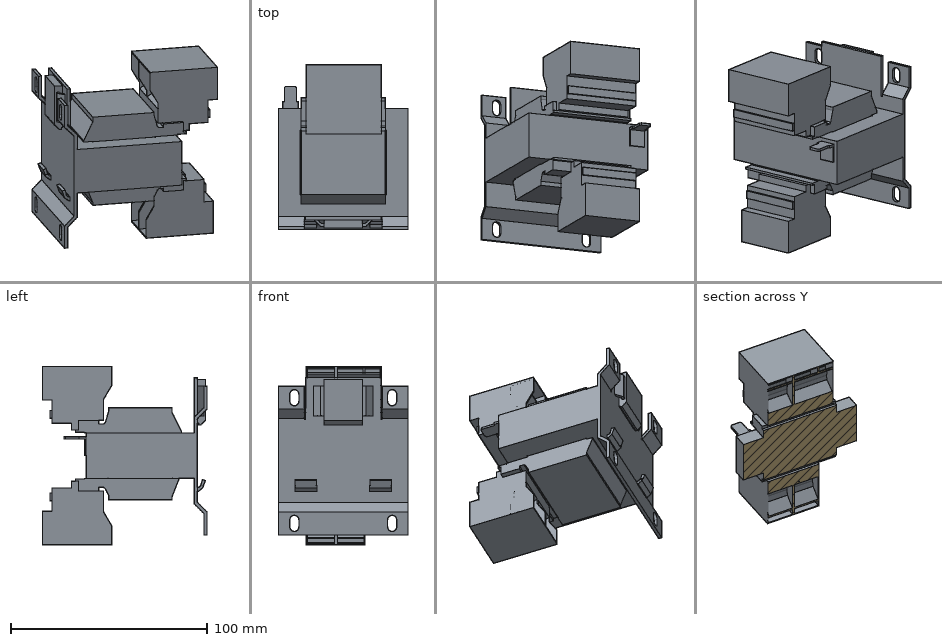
import math

import cadquery as cq


width = 66.05
half_width = width / 2
depth = 83.97
rear_y = 77.3
front_y = rear_y - depth
height = 90.8
block_top_z = height / 2

core_half_height = 11.6
core_depth = 55.0
window_outer_x = 22.0
window_inner_x = 11.0
window_front_y = 11.1
window_rear_y = 43.9

coil_half_width = 21.4
coil_rear_y = 43.5
carrier_rear_y = 58.8
carrier_lip_y = 60.5
carrier_lip_height = 1.1
carrier_gap = 0.25
carrier_top_z = 18.0
carrier_foot_y = 55.9
notch_rear_y = 48.5
notch_front_y = 46.0
notch_floor_z = 16.2

sheet = 1.7
plate_front_y = -sheet
flange_back_y = front_y + sheet
flange_offset = plate_front_y - front_y
bend_shift = sheet * math.tan(math.radians(22.5))
bracket_bottom_z = -40.5
lower_bend_z = -23.8
ear_top_z = 35.4
upper_bend_z = 18.8
ear_inner_x = 19.85
tab_half_width = 19.1
tab_top_z = 39.7
relief_bottom_z = 18.35
slot_x = 24.9
slot_width = 4.5
slot_length = 8.1
upper_slot_z = 29.5
slot_spacing_z = 64.0

clip_half_width = 9.7
clip_top_z = 38.8
clip_front_y = -5.86
clip_bevel_z = 18.0
clip_nose_z = 15.6
clip_nose_y = -3.4
clip_root_z = 16.5
clip_nose_back_y = -2.3
bridge_foot_x = 15.1
bridge_top_x = 11.5
bridge_front_y = -5.0
bridge_sheet = 1.35
bridge_bottom_z = 20.3
bridge_top_z = 35.5

hook_inner_x = 13.3
hook_outer_x = 24.5
hook_root_top_z = -16.0
hook_root_bottom_z = -18.2
hook_tip_relief = 0.4
hook_relief_z = -15.2

block_left_x = -18.85
block_seam_x = -3.75
upper_block_right_x = 19.45
lower_block_right_x = 11.2
block_wall = 0.7
divider_x = 10.55
divider_width = 1.1
block_front_y = 41.9
block_throat_y = 46.1
block_step_y = 72.4
block_step_z = 28.3
block_floor_z = 16.4
latch_depth = 1.1
latch_inset = 0.3
latch_low_z = 19.0
latch_high_z = 23.0
throat_sill_z = 25.4
cavity_back_y = 54.8
cavity_ceiling_z = 44.2

slope_top = (52.8, 29.9)
blade_root = (54.1, 33.5)
blade_bend = (53.2, 36.6)
blade_tip = (46.7, 42.3)
ledge_z = 38.0

earth_x = -26.9
earth_sheet = 1.25
earth_leg_sheet = 0.8
earth_top_z = 9.7
earth_leg_bottom_z = 0.1
earth_base_width = 8.0
earth_base_y = 58.5
earth_tab_width = 6.2
earth_tab_y = 66.3
earth_corner = 0.7


def box(x0, x1, y0, y1, z0, z1):
    return cq.Workplane("XY").box(x1 - x0, y1 - y0, z1 - z0, centered=False).translate((x0, y0, z0))


def prism(points, x0, x1):
    """Extrude a (Y, Z) outline from x0 to x1."""
    return cq.Workplane("YZ").workplane(offset=x0).polyline(points).close().extrude(x1 - x0)


def mirror_z(body):
    return body.mirror("XY")


def mirror_x(body):
    return body.mirror("YZ")


def make_core():
    core = box(-half_width, half_width, 0, core_depth, -core_half_height, core_half_height)
    window = box(
        window_inner_x, window_outer_x, window_front_y, window_rear_y, -core_half_height, core_half_height
    )
    return core.cut(window).cut(mirror_x(window))


def make_coil_half(crest_z, front_foot_y, front_knee_z, rear_knee_z):
    """Winding above the core together with the carrier behind it."""
    front_knee_y = 11.2
    front_foot_rise = 0.7
    saddle_point = (45.2, 17.0)
    lip_bottom_z = core_half_height + carrier_gap
    outline = [
        (front_foot_y, core_half_height),
        (front_foot_y, core_half_height + front_foot_rise),
        (front_knee_y, front_knee_z),
        (front_knee_y, crest_z),
        (coil_rear_y, crest_z),
        (coil_rear_y, rear_knee_z),
        saddle_point,
        (notch_front_y, notch_floor_z),
        (notch_rear_y, notch_floor_z),
        (notch_rear_y, carrier_top_z),
        (carrier_rear_y, carrier_top_z),
        (carrier_rear_y, lip_bottom_z + carrier_lip_height),
        (carrier_lip_y, lip_bottom_z + carrier_lip_height),
        (carrier_lip_y, lip_bottom_z),
        (carrier_foot_y, lip_bottom_z),
        (carrier_foot_y, core_half_height),
    ]
    return prism(outline, -coil_half_width, coil_half_width)


def make_coil():
    upper = make_coil_half(crest_z=24.5, front_foot_y=6.4, front_knee_z=22.0, rear_knee_z=22.8)
    lower = make_coil_half(crest_z=22.5, front_foot_y=7.8, front_knee_z=21.0, rear_knee_z=20.4)
    coil = upper.union(mirror_z(lower))
    for x0, x1 in ((-coil_half_width, -window_inner_x), (window_inner_x, coil_half_width)):
        coil = coil.union(
            box(x0, x1, window_front_y, window_rear_y, -core_half_height, core_half_height)
        )
    return coil


def make_bracket():
    outline = [
        (0, upper_bend_z + bend_shift),
        (flange_back_y, upper_bend_z + bend_shift - flange_back_y),
        (flange_back_y, ear_top_z),
        (front_y, ear_top_z),
        (front_y, upper_bend_z + flange_offset),
        (plate_front_y, upper_bend_z),
        (plate_front_y, lower_bend_z),
        (front_y, lower_bend_z - flange_offset),
        (front_y, bracket_bottom_z),
        (flange_back_y, bracket_bottom_z),
        (flange_back_y, lower_bend_z - bend_shift + flange_back_y),
        (0, lower_bend_z - bend_shift),
    ]
    bracket = prism(outline, -half_width, half_width)
    ear_gap = box(-ear_inner_x, ear_inner_x, front_y, 0, relief_bottom_z, tab_top_z)
    tab = box(-tab_half_width, tab_half_width, plate_front_y, 0, relief_bottom_z, tab_top_z)
    slot_rows = (upper_slot_z, upper_slot_z - slot_spacing_z)
    slot_places = [(x, z) for x in (-slot_x, slot_x) for z in slot_rows]
    slots = (
        cq.Workplane("XZ", origin=(0, flange_back_y, 0))
        .pushPoints(slot_places)
        .slot2D(slot_length, slot_width, 90)
        .extrude(sheet)
    )
    return bracket.cut(ear_gap).union(tab).cut(slots)


def make_clip():
    pad = prism(
        [
            (plate_front_y, clip_top_z),
            (clip_front_y, clip_top_z),
            (clip_front_y, clip_bevel_z),
            (clip_nose_y, clip_nose_z),
            (clip_nose_back_y, clip_nose_z),
            (clip_nose_back_y, clip_root_z),
            (plate_front_y, clip_root_z),
        ],
        -clip_half_width,
        clip_half_width,
    )
    inner_front_y = bridge_front_y + bridge_sheet
    slant_width = 1.9
    bend_inset = 0.5
    inner_top_x = bridge_top_x - bend_inset
    bridge = (
        cq.Workplane("XY", origin=(0, 0, bridge_bottom_z))
        .polyline([
            (-bridge_foot_x, plate_front_y),
            (-bridge_top_x, bridge_front_y),
            (bridge_top_x, bridge_front_y),
            (bridge_foot_x, plate_front_y),
            (bridge_foot_x - slant_width, plate_front_y),
            (inner_top_x, inner_front_y),
            (-inner_top_x, inner_front_y),
            (-bridge_foot_x + slant_width, plate_front_y),
        ])
        .close()
        .extrude(bridge_top_z - bridge_bottom_z)
    )
    return pad.union(bridge)


def make_hook():
    outline = [
        (plate_front_y, hook_root_top_z),
        (-2.6, hook_root_top_z),
        (-3.3, -15.2),
        (-4.2, -12.1),
        (-5.8, -12.6),
        (-4.35, -16.5),
        (-2.25, hook_root_bottom_z),
        (plate_front_y, hook_root_bottom_z),
    ]
    hook = prism(outline, hook_inner_x, hook_outer_x)
    relief = box(hook_inner_x, hook_inner_x + hook_tip_relief, front_y, plate_front_y, hook_relief_z, 0)
    return hook.cut(relief)


def make_cell_cavity(x0, x1):
    """Wire entry of one row of terminals, open to the front."""
    mouth_y = block_front_y - 1
    sill_drop = 3.3
    ceiling_rise = 0.6
    return prism(
        [
            (mouth_y, throat_sill_z - sill_drop),
            (block_throat_y, throat_sill_z),
            slope_top,
            blade_root,
            (blade_root[0], ledge_z),
            (cavity_back_y, ledge_z),
            (cavity_back_y, cavity_ceiling_z),
            (mouth_y, cavity_ceiling_z + ceiling_rise),
        ],
        x0,
        x1,
    )


def make_guide_blade(x0, x1):
    """Thin slanted blade that leans forward and up inside a wire entry."""
    return prism(
        [
            slope_top,
            blade_root,
            blade_bend,
            blade_tip,
            (46.1, 41.6),
            (52.4, 35.8),
            (53.0, 32.6),
        ],
        x0,
        x1,
    )


def make_divider():
    """Partition behind the guide blade, flush with the blade tip."""
    return prism(
        [
            blade_bend,
            blade_root,
            (cavity_back_y, ledge_z),
            (cavity_back_y, block_top_z),
            (blade_tip[0], block_top_z),
            blade_tip,
        ],
        divider_x - divider_width / 2,
        divider_x + divider_width / 2,
    )


def make_terminal_block(right_x):
    foot_y = 62.5
    foot_z = 13.0
    outline = [
        (block_front_y, block_top_z),
        (rear_y, block_top_z),
        (rear_y, block_step_z),
        (block_step_y, block_step_z),
        (block_step_y, block_floor_z),
        (foot_y, block_floor_z),
        (foot_y, foot_z),
        (carrier_rear_y, foot_z),
        (carrier_rear_y, carrier_top_z),
        (block_throat_y, carrier_top_z),
        (block_throat_y, 28.6),
        (block_front_y, 35.7),
    ]
    block = prism(outline, block_left_x, right_x)
    latch = box(
        block_left_x + latch_inset,
        right_x - latch_inset,
        block_step_y,
        block_step_y + latch_depth,
        latch_low_z,
        latch_high_z,
    )
    block = block.union(latch)
    cells = (
        (block_left_x + block_wall, block_seam_x - block_wall),
        (block_seam_x + block_wall, right_x - block_wall),
    )
    for x0, x1 in cells:
        block = block.cut(make_cell_cavity(x0, x1)).union(make_guide_blade(x0, x1))
    return block


def make_earth_tab():
    half_base = earth_base_width / 2
    base_left_x = earth_x - half_base
    base_right_x = earth_x + half_base
    leg = box(
        base_left_x, base_right_x, core_depth, core_depth + earth_leg_sheet, earth_leg_bottom_z, earth_top_z
    )
    bottom_z = earth_top_z - earth_sheet
    base = box(base_left_x, base_right_x, core_depth, earth_base_y, bottom_z, earth_top_z)
    half_tab = earth_tab_width / 2
    blade = box(earth_x - half_tab, earth_x + half_tab, core_depth, earth_tab_y, bottom_z, earth_top_z)
    blade = blade.edges("|Z and >Y").chamfer(earth_corner)
    return leg.union(base).union(blade)


upper_block = make_terminal_block(upper_block_right_x).union(make_divider())
lower_block = mirror_z(make_terminal_block(lower_block_right_x))
hook = make_hook()

result = make_core()
for piece in (
    make_coil(),
    make_bracket(),
    make_clip(),
    hook,
    mirror_x(hook),
    upper_block,
    lower_block,
    make_earth_tab(),
):
    result = result.union(piece)